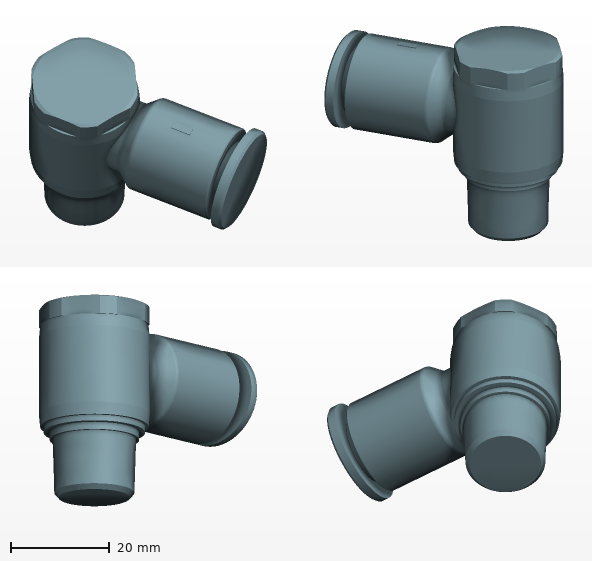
import cadquery as cq
import math


TOTAL_HEIGHT = 39.8
HEX_HEIGHT = 4.0
SHOULDER_HEIGHT = 2.5
BODY_BOTTOM_Z = 14.8
UPPER_STEP_HEIGHT = 1.2
LOWER_STEP_HEIGHT = 1.5
THREAD_CHAMFER_HEIGHT = 1.0
BODY_TOP_Z = TOTAL_HEIGHT - HEX_HEIGHT
UPPER_STEP_Z = BODY_BOTTOM_Z - UPPER_STEP_HEIGHT
THREAD_TOP_Z = UPPER_STEP_Z - LOWER_STEP_HEIGHT

BODY_RADIUS = 22.5 / 2
SHOULDER_RADIUS = 22.0 / 2
UPPER_STEP_RADIUS = 20.6 / 2
LOWER_STEP_RADIUS = 18.2 / 2
THREAD_TOP_RADIUS = 16.95 / 2
THREAD_TAPER = 1 / 16
THREAD_BOTTOM_RADIUS = THREAD_TOP_RADIUS - (THREAD_TOP_Z - THREAD_CHAMFER_HEIGHT) * THREAD_TAPER / 2
THREAD_TIP_RADIUS = 14.5 / 2

HEX_SIDES = 6
HEX_ACROSS_FLATS = 21.0
HEX_ACROSS_CORNERS = HEX_ACROSS_FLATS / math.cos(math.pi / HEX_SIDES)
HEX_CHAMFER_HEIGHT = 0.3

SOCKET_AXIS_Z = 26.75
NECK_RADIUS = 15.0 / 2
SOCKET_RADIUS = 19.75 / 2
CONE_START_X = 11.15
CONE_END_X = 14.0
CONE_BLEND_RADIUS = 1.0
SOCKET_END_X = 31.95
SOCKET_CHAMFER = 0.25

SLEEVE_RADIUS = 14.2 / 2
SLEEVE_CHAMFER = 0.15
COLLAR_START_X = 33.75
COLLAR_END_X = 35.88
COLLAR_WIDTH = 22.5
COLLAR_HEIGHT = 19.4
COLLAR_CHAMFER = 0.5

PAD_LENGTH = 4.1
PAD_WIDTH = 1.6
PAD_CENTER_X = 22.0
PAD_RISE = 0.15


def vertical_body():
    """Turned body: tapered thread, two steps and a barrel with tapered shoulders."""
    profile = [
        (0, 0),
        (THREAD_TIP_RADIUS, 0),
        (THREAD_BOTTOM_RADIUS, THREAD_CHAMFER_HEIGHT),
        (THREAD_TOP_RADIUS, THREAD_TOP_Z),
        (LOWER_STEP_RADIUS, THREAD_TOP_Z),
        (LOWER_STEP_RADIUS, UPPER_STEP_Z),
        (UPPER_STEP_RADIUS, UPPER_STEP_Z),
        (UPPER_STEP_RADIUS, BODY_BOTTOM_Z),
        (SHOULDER_RADIUS, BODY_BOTTOM_Z),
        (BODY_RADIUS, BODY_BOTTOM_Z + SHOULDER_HEIGHT),
        (BODY_RADIUS, BODY_TOP_Z - SHOULDER_HEIGHT),
        (SHOULDER_RADIUS, BODY_TOP_Z),
        (0, BODY_TOP_Z),
    ]
    return cq.Workplane("XZ").polyline(profile).close().revolve(360, (0, 0), (0, 1))


def hex_head():
    """Hexagon with flats facing +Y and -Y, trimmed by a turned blank with a conical top edge."""
    hexagon = (
        cq.Workplane("XY", origin=(0, 0, BODY_TOP_Z))
        .polygon(HEX_SIDES, HEX_ACROSS_CORNERS)
        .extrude(HEX_HEIGHT)
    )
    blank_profile = [
        (0, BODY_TOP_Z),
        (BODY_RADIUS, BODY_TOP_Z),
        (BODY_RADIUS, TOTAL_HEIGHT - HEX_CHAMFER_HEIGHT),
        (HEX_ACROSS_FLATS / 2, TOTAL_HEIGHT),
        (0, TOTAL_HEIGHT),
    ]
    blank = cq.Workplane("XZ").polyline(blank_profile).close().revolve(360, (0, 0), (0, 1))
    return hexagon.intersect(blank)


def tube_socket():
    """Neck, cone and cylindrical socket turned about the horizontal axis."""
    profile = [
        (0, 0),
        (0, NECK_RADIUS),
        (CONE_START_X, NECK_RADIUS),
        (CONE_END_X, SOCKET_RADIUS),
        (SOCKET_END_X - SOCKET_CHAMFER, SOCKET_RADIUS),
        (SOCKET_END_X, SOCKET_RADIUS - SOCKET_CHAMFER),
        (SOCKET_END_X, 0),
    ]
    socket = (
        cq.Workplane("XZ", origin=(0, 0, SOCKET_AXIS_Z))
        .polyline(profile)
        .close()
        .revolve(360, (0, 0), (1, 0))
    )
    cone_ends = cq.selectors.BoxSelector(
        (CONE_START_X - CONE_BLEND_RADIUS, -BODY_RADIUS, 0),
        (CONE_END_X + CONE_BLEND_RADIUS, BODY_RADIUS, TOTAL_HEIGHT),
    )
    return socket.edges("%CIRCLE").edges(cone_ends).fillet(CONE_BLEND_RADIUS)


def release_collar():
    """Elliptical collar, long in Y, carried on a round sleeve with a chamfered end."""
    sleeve = (
        cq.Workplane("YZ", origin=(SOCKET_END_X, 0, SOCKET_AXIS_Z))
        .circle(SLEEVE_RADIUS)
        .extrude(COLLAR_START_X - SOCKET_END_X)
        .faces(">X")
        .chamfer(SLEEVE_CHAMFER)
    )
    collar = (
        cq.Workplane("YZ", origin=(COLLAR_START_X, 0, SOCKET_AXIS_Z))
        .ellipse(COLLAR_WIDTH / 2, COLLAR_HEIGHT / 2)
        .extrude(COLLAR_END_X - COLLAR_START_X)
        .faces(">X")
        .chamfer(COLLAR_CHAMFER)
    )
    return sleeve.union(collar)


def raised_pad():
    """Thin rectangular pad standing just above the top line of the socket."""
    return (
        cq.Workplane("XY", origin=(PAD_CENTER_X, 0, SOCKET_AXIS_Z))
        .rect(PAD_LENGTH, PAD_WIDTH)
        .extrude(SOCKET_RADIUS + PAD_RISE)
    )


result = (
    vertical_body()
    .union(hex_head())
    .union(tube_socket())
    .union(release_collar())
    .union(raised_pad())
)